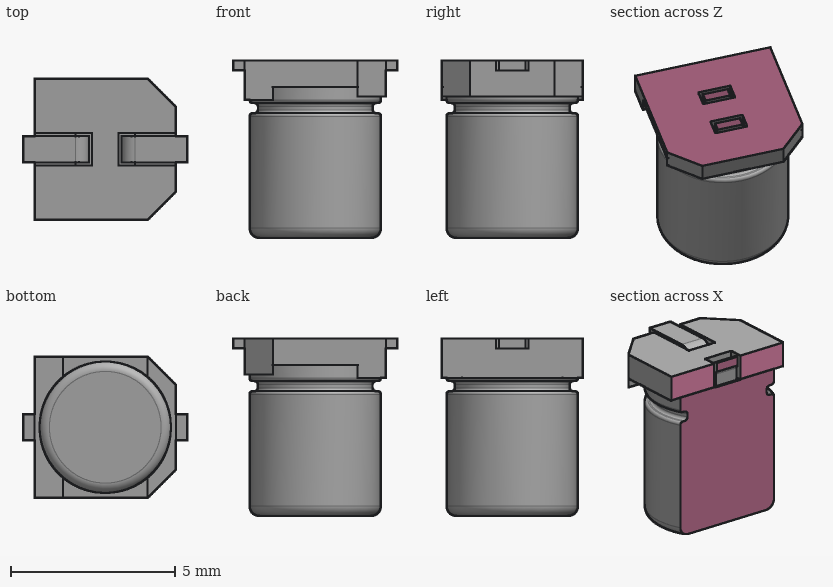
import cadquery as cq


base_width = 4.3
half_width = base_width / 2
corner_chamfer = 0.86
shoulder_x = half_width - corner_chamfer
plate_thickness = 0.8
wide_block_depth = 1.2
chamfered_block_depth = 1.1

lead_span = 5.0
lead_width = 0.8
lead_thickness = 0.3
bend_radius = 0.4
inner_bend_radius = bend_radius - lead_thickness
lead_outer_x = lead_span / 2
lead_inner_x = 0.5
bend_start_x = lead_inner_x + bend_radius

slot_clearance = 0.1
slot_width = lead_width + 2 * slot_clearance
slot_inner_x = lead_inner_x - slot_clearance

can_radius = 2.0
can_top = -plate_thickness
can_bottom = -5.4
bottom_radius = 0.3
neck_radius = 1.75
groove_top = -1.2
groove_fillet = 0.1
neck_height = 0.1

directions = (-1, 1)


def box_between(x_range, y_size, z_range):
    """Box spanning the given X and Z ranges, centred on Y = 0."""
    x_low, x_high = sorted(x_range)
    z_low, z_high = sorted(z_range)
    return (
        cq.Workplane("XY")
        .box(x_high - x_low, y_size, z_high - z_low, centered=(False, True, False))
        .translate((x_low, 0, z_low))
    )


def make_base():
    """Plate with two end blocks that cradle the can, and a slot for each lead."""
    outline = [
        (-half_width, -half_width),
        (shoulder_x, -half_width),
        (half_width, -shoulder_x),
        (half_width, shoulder_x),
        (shoulder_x, half_width),
        (-half_width, half_width),
    ]
    base = cq.Workplane("XY").polyline(outline).close().extrude(-wide_block_depth)

    middle_relief = box_between(
        (-shoulder_x, shoulder_x), base_width, (-wide_block_depth, -plate_thickness)
    )
    chamfered_end_relief = box_between(
        (shoulder_x, half_width), base_width, (-wide_block_depth, -chamfered_block_depth)
    )
    base = base.cut(middle_relief).cut(chamfered_end_relief)

    can_seat = (
        cq.Workplane("XY")
        .workplane(offset=can_top)
        .circle(can_radius)
        .extrude(-wide_block_depth)
    )
    base = base.cut(can_seat)

    for side in directions:
        slot = box_between((side * slot_inner_x, side * half_width), slot_width, (-lead_thickness, 0))
        bend_pocket = box_between(
            (side * slot_inner_x, side * bend_start_x), slot_width, (-plate_thickness, 0)
        )
        base = base.cut(slot).cut(bend_pocket)
    return base


def make_can():
    """Turned can with a rounded lower rim and a crimped groove below the base."""
    neck_top = groove_top - 2 * groove_fillet
    neck_bottom = neck_top - neck_height
    groove_bottom = neck_bottom - 2 * groove_fillet
    lip_radius = can_radius - groove_fillet
    root_radius = neck_radius + groove_fillet
    profile = (
        cq.Workplane("XZ")
        .moveTo(0, can_top)
        .lineTo(can_radius, can_top)
        .lineTo(can_radius, groove_top)
        .radiusArc((lip_radius, groove_top - groove_fillet), groove_fillet)
        .lineTo(root_radius, groove_top - groove_fillet)
        .radiusArc((neck_radius, neck_top), -groove_fillet)
        .lineTo(neck_radius, neck_bottom)
        .radiusArc((root_radius, neck_bottom - groove_fillet), -groove_fillet)
        .lineTo(lip_radius, neck_bottom - groove_fillet)
        .radiusArc((can_radius, groove_bottom), groove_fillet)
        .lineTo(can_radius, can_bottom + bottom_radius)
        .radiusArc((can_radius - bottom_radius, can_bottom), bottom_radius)
        .lineTo(0, can_bottom)
        .close()
    )
    return profile.revolve(360, (0, 0, 0), (0, 1, 0))


def make_lead():
    """Bent strip on the +X side, running from the top of the can out past the base."""
    profile = (
        cq.Workplane("XZ")
        .moveTo(lead_inner_x, can_top)
        .lineTo(lead_inner_x, -bend_radius)
        .radiusArc((bend_start_x, 0), bend_radius)
        .lineTo(lead_outer_x, 0)
        .lineTo(lead_outer_x, -lead_thickness)
        .lineTo(bend_start_x, -lead_thickness)
        .radiusArc((lead_inner_x + lead_thickness, -bend_radius), -inner_bend_radius)
        .lineTo(lead_inner_x + lead_thickness, can_top)
        .close()
    )
    return profile.extrude(lead_width / 2, both=True)


def make_capacitor():
    """Can with both leads rising from its top, as one body."""
    capacitor = make_can()
    lead = make_lead()
    for turn in (0, 180):
        capacitor = capacitor.union(lead.rotate((0, 0, 0), (0, 0, 1), turn))
    return capacitor


base = make_base()
capacitor = make_capacitor()

result = cq.Compound.makeCompound([base.solids().val(), capacitor.solids().val()])